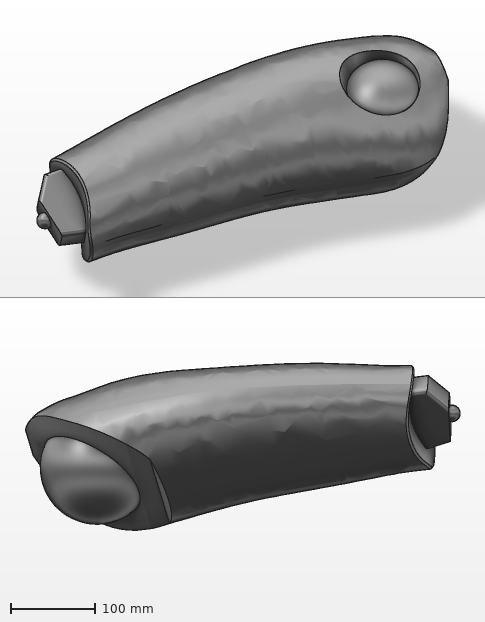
import cadquery as cq
import math

ball_radius = 67.5

skin_sections = [
    (79.5, -52.0, 31.0, -10.5, 51.0, -5.0, -47.0),
    (62.5, -79.0, 61.0, -11.5, 57.0, -2.5, -62.5),
    (31.0, -95.0, 87.0, -15.5, 65.0, 0.0, -75.5),
    (0.0, -101.5, 94.0, -21.0, 71.5, 2.5, -77.5),
    (-41.5, -108.0, 89.0, -26.0, 79.5, 5.0, -74.0),
    (-130.0, -115.0, 69.5, -26.0, 78.0, 5.0, -65.0),
    (-234.5, -109.0, 57.5, -23.5, 72.0, 8.0, -56.0),
    (-312.5, -96.5, 52.5, -21.0, 65.5, 10.5, -50.5),
    (-416.5, -74.5, 53.0, -19.0, 59.5, 13.0, -46.0),
]
band_height = 11.5
band_middle_at_ball = 1.5
band_rise = 0.013
even = 1.0
lean = 1.14
full = 0.9
quarter_angles = (30, 60)

opening_top = (79.5, 41.0)
opening_middle = (-4.5, -20.0)
opening_knee = (-52.0, -46.0)
opening_heel = (-77.5, -57.5)
opening_bottom = (-89.5, -72.0)

window_ball_radius = 42.5
window_flare = 0.3

nub_x = -12.0
nub_z = 5.0
nub_radius = 10.0
nub_y = -431.5
tip_roll = 12.5
end_left = (-83.5, -409.5)
end_crest = (-10.5, -385.0)
end_bend = (33.5, -394.0)
end_valley = (45.0, -398.0)
end_right = (83.5, -391.5)
rim_chamfer = 2.5
rim_front_y = -380.0

block_thickness = 33.5
block_left_x = -51.0
block_left_y = -412.0
block_front_left = (-22.0, -432.0)
block_front_right = (32.0, -424.0)
block_right_x = 41.5
block_back_y = -380.0
block_rounding = 6.0

clearance_length = 312.5


def quarter(side, summit, leanness):
    """Points between a side point and the crown or keel; a leanness of 1 puts them on an ellipse."""
    points = []
    for angle in quarter_angles:
        out = math.cos(math.radians(angle)) ** leanness
        rise = math.sin(math.radians(angle)) ** leanness
        x = summit.x + out * (side.x - summit.x)
        z = side.z + rise * (summit.z - side.z)
        points.append(cq.Vector(x, side.y, z))
    return points


def skin_section(y, left, right, crown_x, crown_z, keel_x, keel_z):
    """Closed outline: a crown curve and a keel curve joined by the two band edges."""
    middle = band_middle_at_ball - band_rise * y
    high = middle + band_height / 2
    low = middle - band_height / 2
    left_high = cq.Vector(left, y, high)
    left_low = cq.Vector(left, y, low)
    right_high = cq.Vector(right, y, high)
    right_low = cq.Vector(right, y, low)
    crown_top = cq.Vector(crown_x, y, crown_z)
    keel_bottom = cq.Vector(keel_x, y, keel_z)
    crown_left = quarter(left_high, crown_top, even)
    crown_right = quarter(right_high, crown_top, lean)
    keel_left = quarter(left_low, keel_bottom, full)
    keel_right = quarter(right_low, keel_bottom, even)
    crown = cq.Edge.makeSpline([left_high, *crown_left, crown_top, *crown_right[::-1], right_high])
    right_band = cq.Edge.makeLine(right_high, right_low)
    keel = cq.Edge.makeSpline([right_low, *keel_right, keel_bottom, *keel_left[::-1], left_low])
    left_band = cq.Edge.makeLine(left_low, left_high)
    return cq.Wire.assembleEdges([crown, right_band, keel, left_band])


def roll_to_tip(shape):
    """Move a shape drawn around the Y axis to the rolled tip frame."""
    rolled = shape.rotate((0, 0, 0), (0, 1, 0), tip_roll)
    return rolled.translate((nub_x, 0, nub_z))


def end_space():
    """Everything beyond the wavy end face."""
    beyond = end_left[1] - clearance_length
    profile = (
        cq.Workplane("XY")
        .moveTo(*end_left)
        .threePointArc(end_crest, end_bend)
        .threePointArc(end_valley, end_right)
        .lineTo(end_right[0], beyond)
        .lineTo(end_left[0], beyond)
        .close()
    )
    return roll_to_tip(profile.extrude(clearance_length / 2, both=True))


def end_rim_edges():
    """Selects the edges around the end face, without the bend that crosses it."""
    reach = clearance_length
    rim_zone = cq.selectors.BoxSelector(
        (-reach, end_left[1], -reach), (reach, rim_front_y, reach), boundingbox=True
    )
    roll = math.radians(tip_roll)
    bends = cq.selectors.ParallelDirSelector(cq.Vector(math.sin(roll), 0, math.cos(roll)))
    return rim_zone - bends


def opening_space():
    """Everything below and behind the sloping opening."""
    profile = (
        cq.Workplane("YZ")
        .moveTo(*opening_top)
        .threePointArc(opening_middle, opening_knee)
        .lineTo(*opening_heel)
        .lineTo(*opening_bottom)
        .lineTo(opening_bottom[0], -clearance_length)
        .lineTo(clearance_length, -clearance_length)
        .lineTo(clearance_length, opening_top[1])
        .close()
    )
    return profile.extrude(clearance_length / 2, both=True)


def window_space():
    """Cone that flares upwards from its circle on the ball."""
    low_z = math.sqrt(ball_radius**2 - window_ball_radius**2)
    height = ball_radius
    top_radius = window_ball_radius + window_flare * height
    cone = cq.Solid.makeCone(window_ball_radius, top_radius, height, cq.Vector(0, 0, low_z))
    return cq.Workplane(cone)


def make_ball():
    return cq.Workplane("XY").sphere(ball_radius)


def make_housing():
    wires = [skin_section(*section) for section in skin_sections]
    skin = cq.Workplane(cq.occ_impl.shapes.loft(*wires, cap=True, parametrization="chordal"))
    body = skin.cut(end_space())
    body = body.edges(end_rim_edges()).chamfer(rim_chamfer)
    return body.cut(opening_space()).cut(window_space()).cut(make_ball())


def make_tip():
    """Tapered block seated on the wavy end face, with a round nub on its front."""
    block = (
        cq.Workplane("XY")
        .moveTo(block_left_x, block_back_y)
        .lineTo(block_left_x, block_left_y)
        .lineTo(*block_front_left)
        .lineTo(*block_front_right)
        .lineTo(block_right_x, block_back_y)
        .close()
        .extrude(block_thickness / 2, both=True)
    )
    side_middles = cq.selectors.BoxSelector
    half = block_thickness
    left_sides = side_middles((block_left_x - 5, -469, -half), (block_front_left[0] - 5, -385.5, half))
    right_side = side_middles((block_front_right[0] + 0.5, -469, -half), (block_right_x, -385.5, half))
    block = block.edges("#Z").edges(left_sides + right_side).fillet(block_rounding)
    nub = cq.Workplane("XY").sphere(nub_radius).translate((0, nub_y, 0))
    return roll_to_tip(block.union(nub)).intersect(end_space())


housing = make_housing()
ball = make_ball()
tip = make_tip()

result = cq.Compound.makeCompound([housing.val(), ball.val(), tip.val()])